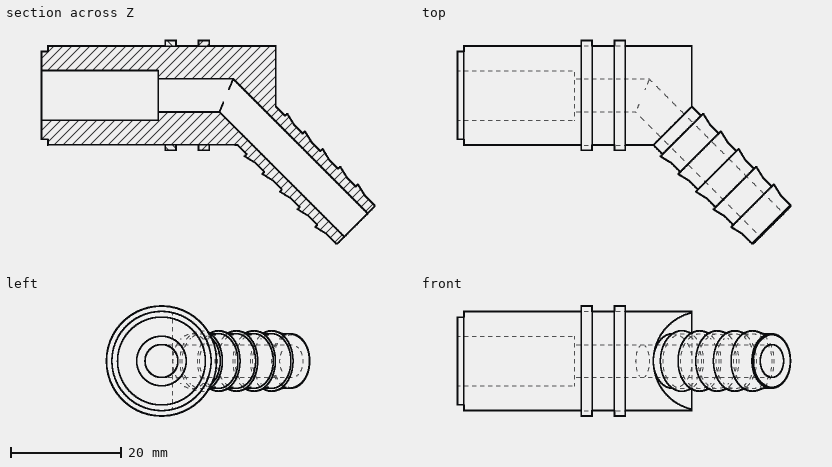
import cadquery as cq
import math

overall_length = 60.35

body_diameter = 18.0
body_length = 42.5
collar_diameter = 15.95
collar_length = 1.15

ring_diameter = 20.0
ring_width = 2.0
ring_start = 22.4
ring_pitch = 6.05
ring_count = 2

tail_angle = 45.0
tail_diameter = 9.9
tip_chamfer = 0.2
barb_diameter = 11.0
barb_start = 2.35
barb_length = 2.3
barb_pitch = 4.5
barb_count = 5

bore_diameter = 6.0
inlet_diameter = 9.0
inlet_depth = 21.1

body_radius = body_diameter / 2
tail_radius = tail_diameter / 2
cos_tail = math.cos(math.radians(tail_angle))
sin_tail = math.sin(math.radians(tail_angle))

tail_length = (overall_length - body_length) / cos_tail + tip_chamfer

flat_side_x = body_length - tail_diameter * sin_tail
flat_end_y = tail_diameter * cos_tail - body_radius
tail_base_x = (flat_side_x + body_length) / 2
tail_base_y = (flat_end_y - body_radius) / 2
elbow_x = tail_base_x + tail_base_y * cos_tail / sin_tail


def cylinder(diameter, start, length):
    """Cylinder on the housing axis, from X = start."""
    return cq.Workplane("YZ", origin=(start, 0, 0)).circle(diameter / 2).extrude(length)


def make_blank():
    """Stepped cylinder with the corner on the tail side cut off."""
    collar = cylinder(collar_diameter, 0, collar_length)
    barrel = cylinder(body_diameter, collar_length, body_length - collar_length)
    corner = (
        cq.Workplane("XY")
        .moveTo(flat_side_x, -body_radius)
        .lineTo(body_length, -body_radius)
        .lineTo(body_length, flat_end_y)
        .close()
        .extrude(body_radius, both=True)
    )
    return collar.union(barrel).cut(corner)


def make_tail():
    """Revolved hose tail whose barbs are steep on the housing side and taper towards the tip."""
    profile = cq.Workplane("XY").moveTo(0, 0).lineTo(0, tail_radius)
    for index in range(barb_count):
        start = barb_start + index * barb_pitch
        profile = (
            profile.lineTo(start, tail_radius)
            .lineTo(start, barb_diameter / 2)
            .lineTo(start + barb_length, tail_radius)
        )
    return (
        profile.lineTo(tail_length - tip_chamfer, tail_radius)
        .lineTo(tail_length, tail_radius - tip_chamfer)
        .lineTo(tail_length, 0)
        .close()
        .revolve(360, (0, 0, 0), (1, 0, 0))
        .rotate((0, 0, 0), (0, 0, 1), -tail_angle)
        .translate((tail_base_x, tail_base_y, 0))
    )


def make_passage():
    """Mitred round bore from the inlet to the tip, with a wider inlet."""
    tip_x = tail_base_x + tail_length * cos_tail
    tip_y = tail_base_y - tail_length * sin_tail
    path = cq.Workplane("XY").polyline([(0, 0), (elbow_x, 0), (tip_x, tip_y)])
    bore = cq.Workplane("YZ").circle(bore_diameter / 2).sweep(path, transition="right")
    return bore.union(cylinder(inlet_diameter, 0, inlet_depth))


def make_housing():
    """Blank and hose tail joined into one solid, with the passage cut through both."""
    return make_blank().union(make_tail()).cut(make_passage()).solids()


def make_ring(start):
    """Square-edged ring that fits closely around the housing."""
    profile = cq.Workplane("YZ", origin=(start, 0, 0)).circle(ring_diameter / 2).circle(body_radius)
    return profile.extrude(ring_width)


housing = make_housing()
rings = [make_ring(ring_start + index * ring_pitch) for index in range(ring_count)]

result = cq.Compound.makeCompound([housing.val(), *[ring.val() for ring in rings]])